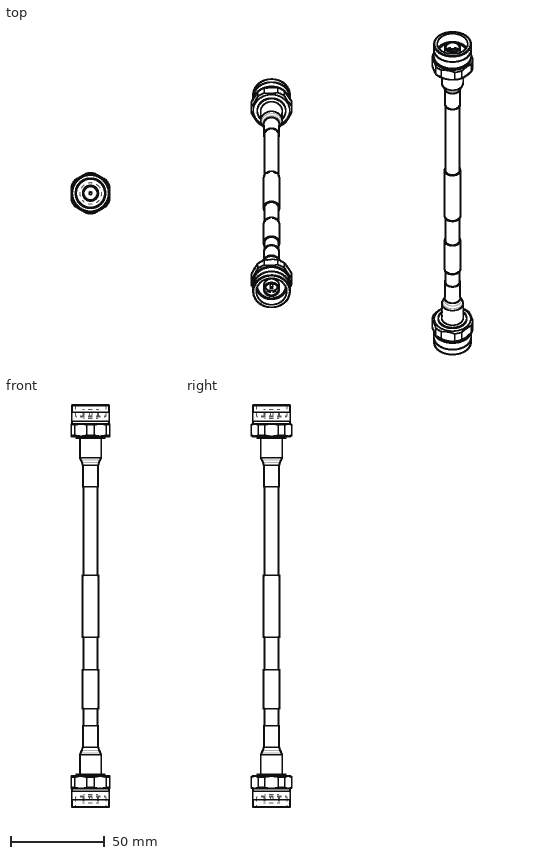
import cadquery as cq
import math

TOTAL_LENGTH = 215.1
HALF_LENGTH = TOTAL_LENGTH / 2

NUT_RADIUS = 9.95
TIP_CHAMFER = 0.3
BAND_RADIUS = 10.15
BAND_START = 4.0
BAND_END = 8.75
HEX_START = 9.8
HEX_END = 17.05
HEX_ACROSS_FLATS = 20.6
HEX_CORNER_RADIUS = 21.85 / 2
HEX_CHAMFER_RADIUS = 9.75
HEX_CHAMFER_LENGTH = 0.88
COLLAR_RADIUS = 7.6
COLLAR_END = 17.7

BORE_RADIUS = 8.1
BORE_DEPTH = 6.3
FLOOR_CHAMFER = 0.5
TUBE_OUTER_RADIUS = 4.2
TUBE_INNER_RADIUS = 3.6
TUBE_TIP_DEPTH = 2.4
TUBE_BORE_DEPTH = 7.0
PIN_RADIUS = 0.7
PIN_TIP_DEPTH = 4.0

SHANK_RADIUS = 5.75
SHOULDER_START = 28.2
SHOULDER_RADIUS = 5.3
SHOULDER_END = 29.3
NECK_RADIUS = 4.6
NECK_END = 30.7
TAIL_RADIUS = 4.25
CONNECTOR_LENGTH = 32.1

CABLE_RADIUS = 3.75
BOOT_RADIUS = 4.1
BOOT_LENGTH = 11.6
MARKER_RADIUS = 4.3
CENTER_MARKER_LENGTH = 33.0
LOWER_MARKER_TOP = -34.0
LOWER_MARKER_LENGTH = 20.7


def cylinder(radius, start, end):
    """Cylinder on the Z axis between two heights."""
    return cq.Workplane("XY").workplane(offset=start).circle(radius).extrude(end - start)


def turned(profile):
    """Solid of revolution about Z from a closed (radius, height) outline."""
    return cq.Workplane("XZ").polyline(profile).close().revolve(360, (0, 0), (0, 1))


def nut_hex():
    """Hexagon with flats facing +X and -X, rounded corners and both ends chamfered."""
    hex_length = HEX_END - HEX_START
    corner_diameter = HEX_ACROSS_FLATS / math.cos(math.pi / 6)
    prism = (
        cq.Workplane("XY")
        .workplane(offset=HEX_START)
        .transformed(rotate=(0, 0, 30))
        .polygon(6, corner_diameter)
        .extrude(hex_length)
    )
    envelope = turned(
        [
            (0, HEX_START),
            (HEX_CHAMFER_RADIUS, HEX_START),
            (HEX_CORNER_RADIUS, HEX_START + HEX_CHAMFER_LENGTH),
            (HEX_CORNER_RADIUS, HEX_END - HEX_CHAMFER_LENGTH),
            (HEX_CHAMFER_RADIUS, HEX_END),
            (0, HEX_END),
        ]
    )
    return prism.intersect(envelope)


def turned_body():
    """Nut front, collar and shank as one turned shape, tip at Z = 0."""
    nut_front_end = (HEX_START + HEX_END) / 2
    profile = [
        (0, 0),
        (NUT_RADIUS - TIP_CHAMFER, 0),
        (NUT_RADIUS, TIP_CHAMFER),
        (NUT_RADIUS, BAND_START),
        (BAND_RADIUS, BAND_START),
        (BAND_RADIUS, BAND_END),
        (NUT_RADIUS, BAND_END),
        (NUT_RADIUS, nut_front_end),
        (COLLAR_RADIUS, nut_front_end),
        (COLLAR_RADIUS, COLLAR_END),
        (SHANK_RADIUS, COLLAR_END),
        (SHANK_RADIUS, SHOULDER_START),
        (SHOULDER_RADIUS, SHOULDER_END),
        (NECK_RADIUS, NECK_END),
        (TAIL_RADIUS, CONNECTOR_LENGTH),
        (0, CONNECTOR_LENGTH),
    ]
    return turned(profile)


def mating_cavity():
    """Space inside the nut mouth, around and within the contact tube."""
    bore = cylinder(BORE_RADIUS, 0, BORE_DEPTH).faces(">Z").chamfer(FLOOR_CHAMFER)
    tube = cylinder(TUBE_OUTER_RADIUS, TUBE_TIP_DEPTH, BORE_DEPTH)
    tube_bore = cylinder(TUBE_INNER_RADIUS, TUBE_TIP_DEPTH, TUBE_BORE_DEPTH)
    pin = cylinder(PIN_RADIUS, PIN_TIP_DEPTH, TUBE_BORE_DEPTH)
    return bore.cut(tube).union(tube_bore).cut(pin)


def connector():
    """Complete connector with its tip at Z = 0 and its tail toward +Z."""
    return turned_body().union(nut_hex()).cut(mating_cavity())


def cable():
    """Cable with an end boot at each connector and two marker sleeves."""
    cable_end = HALF_LENGTH - CONNECTOR_LENGTH
    boot_start = cable_end - BOOT_LENGTH
    center_marker_end = CENTER_MARKER_LENGTH / 2
    lower_marker_bottom = LOWER_MARKER_TOP - LOWER_MARKER_LENGTH
    sleeves = [
        (BOOT_RADIUS, -cable_end, -boot_start),
        (MARKER_RADIUS, lower_marker_bottom, LOWER_MARKER_TOP),
        (MARKER_RADIUS, -center_marker_end, center_marker_end),
        (BOOT_RADIUS, boot_start, cable_end),
    ]
    body = cylinder(CABLE_RADIUS, -cable_end, cable_end)
    for radius, start, end in sleeves:
        body = body.union(cylinder(radius, start, end))
    return body


lower_connector = connector().translate((0, 0, -HALF_LENGTH))
connectors = [lower_connector, lower_connector.mirror("XY")]

result = cq.Compound.makeCompound([cable().val(), *[body.val() for body in connectors]])